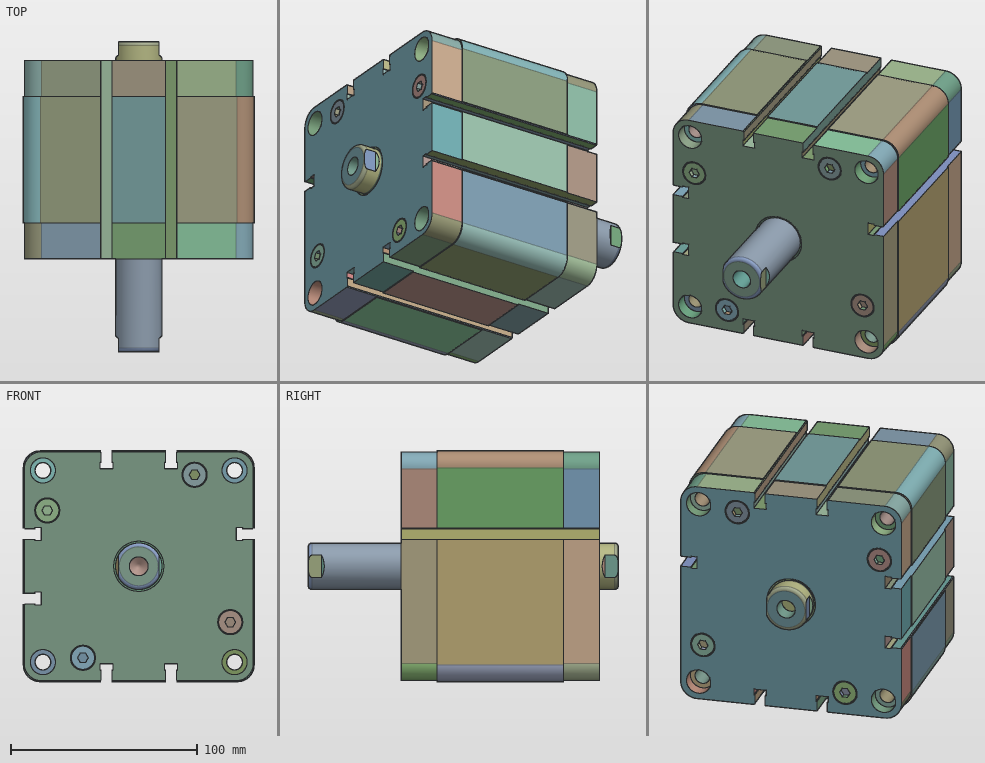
import cadquery as cq
import math

total_length = 166.5
front_rod_length = 50.0
rear_rod_length = 10.0
cap_length = 19.3
front_face = front_rod_length - total_length / 2
rear_face = total_length / 2 - rear_rod_length
housing_length = rear_face - front_face
barrel_length = housing_length - 2 * cap_length

barrel_side = 124.0
cap_side = 122.9
corner_radius = 9.2

slot_offset = 17.3
slot_neck_width = 5.7
slot_foot_width = 6.8
slot_floor = 52.5
slot_step = 55.8
slot_lip = 0.5

mount_offset = 51.5
mount_hole_diameter = 8.3
mount_bore_diameter = 13.5
mount_bore_depth = 8.0

screw_near = 30.0
screw_far = 49.1
screw_bore_diameter = 13.5
screw_head_diameter = 12.5
screw_gap_depth = 1.7
socket_across_flats = 5.0
socket_depth = 3.0

rod_diameter = 25.0
rod_edge_radius = 2.0
seal_diameter = 27.0
seal_gap_depth = 0.8
wrench_width = 22.0
wrench_length = 7.2
rod_bore_diameter = 10.2
rod_bore_depth = 20.0
drill_point_angle = 118.0


def along_y(start, offset=(0, 0)):
    """Workplane facing +Y at the given Y, with local x = X and local y = -Z."""
    x, z = offset
    return cq.Workplane(cq.Plane(origin=(x, start, z), xDir=(1, 0, 0), normal=(0, 1, 0)))


def rounded_block(side, start, length):
    return along_y(start).rect(side, side).extrude(length).edges("|Y").fillet(corner_radius)


def ring(outer_diameter, inner_diameter, start, depth, offset=(0, 0)):
    outline = along_y(start, offset).circle(outer_diameter / 2).circle(inner_diameter / 2)
    return outline.extrude(depth)


def mirror_front_to_rear(shape):
    """Copy a feature of the front face onto the rear face of the housing."""
    middle = (front_face + rear_face) / 2
    return shape.mirror("XZ", (0, middle, 0))


def slot_cutter(side):
    """T-slot in the top face at x = side * slot_offset, with a chamfered lip on its outer edge."""
    half_neck = slot_neck_width / 2
    half_foot = slot_foot_width / 2
    cap_top = cap_side / 2
    above = barrel_side / 2 + 1.7
    profile = [
        (-half_foot, slot_floor),
        (half_foot, slot_floor),
        (half_foot, slot_step),
        (half_neck, slot_step),
        (half_neck, cap_top - slot_lip),
        (half_neck + slot_lip, cap_top),
        (half_neck + slot_lip, above),
        (-half_neck, above),
        (-half_neck, slot_step),
        (-half_foot, slot_step),
    ]
    points = [(side * (slot_offset + u), -v) for u, v in profile]
    return along_y(front_face).polyline(points).close().extrude(housing_length)


def cut_slots(body):
    """Two slots on the top, bottom and -X faces, only the upper one on the +X face."""
    slots = [(0, -1), (0, 1), (180, -1), (180, 1), (270, -1), (270, 1), (90, -1)]
    for turn, side in slots:
        body = body.cut(slot_cutter(side).rotate((0, 0, 0), (0, 1, 0), turn))
    return body


def cut_mount_holes(body):
    for x in (-mount_offset, mount_offset):
        for z in (-mount_offset, mount_offset):
            plane = along_y(front_face, (x, z))
            hole = plane.circle(mount_hole_diameter / 2).extrude(housing_length)
            bore = plane.circle(mount_bore_diameter / 2).extrude(mount_bore_depth)
            body = body.cut(hole).cut(bore).cut(mirror_front_to_rear(bore))
    return body


def cut_screws(body):
    socket_across_corners = socket_across_flats / math.cos(math.pi / 6)
    centres = [
        (-screw_far, screw_near),
        (screw_near, screw_far),
        (screw_far, -screw_near),
        (-screw_near, -screw_far),
    ]
    for centre in centres:
        gap = ring(screw_bore_diameter, screw_head_diameter, front_face, screw_gap_depth, centre)
        socket = along_y(front_face, centre).polygon(6, socket_across_corners).extrude(socket_depth)
        for cutter in (gap, socket):
            body = body.cut(cutter).cut(mirror_front_to_rear(cutter))
    return body


def make_rod():
    rod = along_y(-total_length / 2).circle(rod_diameter / 2).extrude(total_length)
    rod = rod.faces("<Y or >Y").edges().fillet(rod_edge_radius)
    for end in (-1, 1):
        for side in (-1, 1):
            rod = rod.cut(wrench_flat(side, end))
    bore = rod_bore()
    return rod.cut(bore).cut(bore.mirror("XZ"))


def wrench_flat(side, end):
    """Flat at one rod end, running out to the rod surface on a 45 degree ramp."""
    flat = wrench_width / 2
    tip = total_length / 2
    ramp = rod_diameter / 2 - flat
    profile = [
        (flat, tip),
        (flat, tip - wrench_length),
        (flat + ramp, tip - wrench_length - ramp),
        (flat + ramp, tip),
    ]
    points = [(side * x, end * y) for x, y in profile]
    return cq.Workplane("XY").polyline(points).close().extrude(rod_diameter / 2, both=True)


def rod_bore():
    """Blind drilled hole with a conical end in the front rod end."""
    radius = rod_bore_diameter / 2
    start = -total_length / 2
    shoulder = start + rod_bore_depth
    point = shoulder + radius / math.tan(math.radians(drill_point_angle / 2))
    half_section = [(0, start), (radius, start), (radius, shoulder), (0, point)]
    return cq.Workplane("XY").polyline(half_section).close().revolve(360, (0, 0, 0), (0, 1, 0))


housing = rounded_block(barrel_side, front_face + cap_length, barrel_length)
for cap_start in (front_face, rear_face - cap_length):
    housing = housing.union(rounded_block(cap_side, cap_start, cap_length))
housing = cut_slots(housing)
housing = cut_mount_holes(housing)
housing = cut_screws(housing)

seal_gap = ring(seal_diameter, rod_diameter, front_face, seal_gap_depth)
result = housing.union(make_rod()).cut(seal_gap).cut(mirror_front_to_rear(seal_gap))